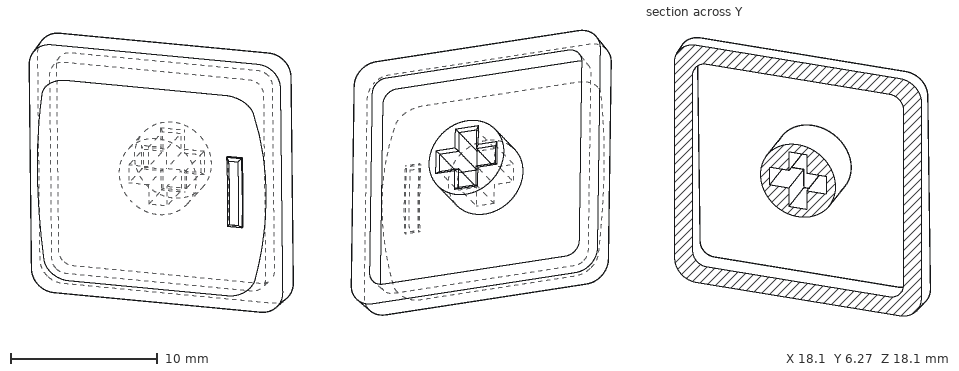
import cadquery as cq
import math


cap_side = 18.11
cap_height = 4.22
skirt_height = 2.2
draft_angle = 2.0
top_side = 14.5
rim_corner_radius = 1.6
top_corner_radius = 1.55
lean_angle = 2.0
overshoot = 1.0

dish_radius = 25.0
dish_depth = dish_radius - math.sqrt(dish_radius**2 - (top_side / 2) ** 2)
dish_axis_height = cap_height - dish_depth + dish_radius

wall = 1.35
cavity_side = cap_side - 2 * wall
cavity_corner_radius = 1.0
cavity_depth = cap_height - dish_depth - wall

stem_diameter = 5.5
stem_projection = 1.7
socket_length = 4.1
socket_width = 1.3
socket_lead_in = 0.2
socket_depth = stem_projection + cavity_depth

bar_width = 1.05
bar_length = 5.0
bar_height = 0.4
bar_chamfer = 0.2
bar_offset = 6.0


def rounded_square(side, radius, height):
    """Rounded square profile lying at the given height."""
    return cq.Sketch().rect(side, side).vertices().fillet(radius).moved(cq.Location((0, 0, height)))


def frustum(lower, upper):
    """Ruled solid between two rounded square profiles."""
    return cq.Workplane("XY").placeSketch(lower, upper).loft(ruled=True)


def drafted_side(side, height):
    """Side length of a drafted square block at the given height above the rim."""
    return side - 2 * height * math.tan(math.radians(draft_angle))


def dish_cylinder(radius):
    """Cylinder across x about the dish axis, wider than the cap."""
    length = cap_side + 2 * overshoot
    return (
        cq.Workplane("YZ", origin=(-length / 2, 0, 0))
        .center(0, dish_axis_height)
        .circle(radius)
        .extrude(length)
    )


def cap_body():
    """Drafted skirt and sloping shoulder, topped by the dish."""
    rim = rounded_square(cap_side, rim_corner_radius, 0)
    shoulder = rounded_square(drafted_side(cap_side, skirt_height), rim_corner_radius, skirt_height)
    top = rounded_square(top_side, top_corner_radius, cap_height)
    return frustum(rim, shoulder).union(frustum(shoulder, top)).cut(dish_cylinder(dish_radius))


def cavity():
    """Drafted pocket that hollows the underside."""
    opening = rounded_square(cavity_side, cavity_corner_radius, 0)
    roof = rounded_square(drafted_side(cavity_side, cavity_depth), cavity_corner_radius, cavity_depth)
    return frustum(opening, roof)


def socket_arm(end_plane, x_size, y_size):
    """One arm of the cross socket with its 45 degree lead-in."""
    slot = end_plane.rect(x_size, y_size).extrude(socket_depth)
    mouth = end_plane.rect(x_size + 2 * socket_lead_in, y_size + 2 * socket_lead_in)
    return slot.union(mouth.extrude(socket_lead_in, taper=45))


def stem():
    """Round stem from the cavity roof, with the cross socket in its free end."""
    end_plane = cq.Workplane("XY", origin=(0, 0, -stem_projection))
    post = end_plane.circle(stem_diameter / 2).extrude(stem_projection + cavity_depth + wall / 2)
    arm_along_x = socket_arm(end_plane, socket_length, socket_width)
    arm_along_y = socket_arm(end_plane, socket_width, socket_length)
    return post.cut(arm_along_x).cut(arm_along_y)


def bar():
    """Raised bar whose chamfered face follows the dish curve."""
    base_height = cap_height - dish_depth - wall / 2
    block = (
        cq.Workplane("XY", origin=(bar_offset, 0, base_height))
        .rect(bar_width, bar_length)
        .extrude(cap_height - base_height)
    )
    curved_bar = block.cut(dish_cylinder(dish_radius - bar_height))
    side_chamfered = curved_bar.faces("%CYLINDER").edges("not |X").chamfer(bar_chamfer)
    return side_chamfered.faces("%CYLINDER").edges("|X").chamfer(bar_chamfer)


def key_cap():
    """Complete cap, lying on its rim."""
    return cap_body().cut(cavity()).union(stem()).union(bar())


result = key_cap().rotate((0, 0, 0), (1, 0, 0), 90 + lean_angle)